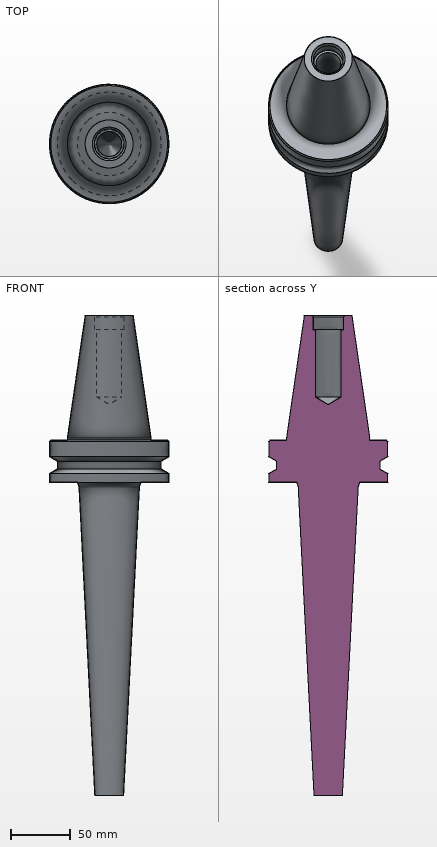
import cadquery as cq
import math

total_length = 402.0
flange_radius = 50.02
flange_chamfer = 1.2
groove_radius = 43.5
flank_angle = math.radians(30)

shank_length = 102.0
shank_collar = 2.5
flange_top = total_length - shank_length - shank_collar
flange_bottom = 262.0
groove_center = 276.5
groove_floor_width = 6.5

shank_large_radius = 35.0
shank_taper = 7 / 24
shank_small_radius = shank_large_radius - shank_length * shank_taper / 2

nose_tip_radius = 12.0
nose_root_radius = 25.5
nose_flare = 1.2
nose_flare_height = 3.5

counterbore_radius = 12.5
counterbore_depth = 12.0
mouth_chamfer = 1.5
drill_radius = 10.5
drill_depth = 68.5
drill_point_angle = math.radians(118)


def revolve_profile(points):
    """Turn an (r, z) profile about the Z axis."""
    return cq.Workplane("XZ").polyline(points).close().revolve(360, (0, 0, 0), (0, 1, 0))


def make_body():
    flank_height = (flange_radius - groove_radius) * math.tan(flank_angle)
    floor_bottom = groove_center - groove_floor_width / 2
    floor_top = groove_center + groove_floor_width / 2
    return revolve_profile([
        (0, 0),
        (nose_tip_radius, 0),
        (nose_root_radius, flange_bottom - nose_flare_height),
        (nose_root_radius + nose_flare, flange_bottom),
        (flange_radius, flange_bottom),
        (flange_radius, floor_bottom - flank_height),
        (groove_radius, floor_bottom),
        (groove_radius, floor_top),
        (flange_radius, floor_top + flank_height),
        (flange_radius, flange_top - flange_chamfer),
        (flange_radius - flange_chamfer, flange_top),
        (shank_large_radius, flange_top),
        (shank_large_radius, flange_top + shank_collar),
        (shank_small_radius, total_length),
        (0, total_length),
    ])


def make_drawbar_hole():
    drill_bottom = total_length - drill_depth
    point_height = drill_radius / math.tan(drill_point_angle / 2)
    return revolve_profile([
        (0, total_length),
        (counterbore_radius + mouth_chamfer, total_length),
        (counterbore_radius, total_length - mouth_chamfer),
        (counterbore_radius, total_length - counterbore_depth),
        (drill_radius, total_length - counterbore_depth),
        (drill_radius, drill_bottom),
        (0, drill_bottom - point_height),
    ])


result = make_body().cut(make_drawbar_hole())